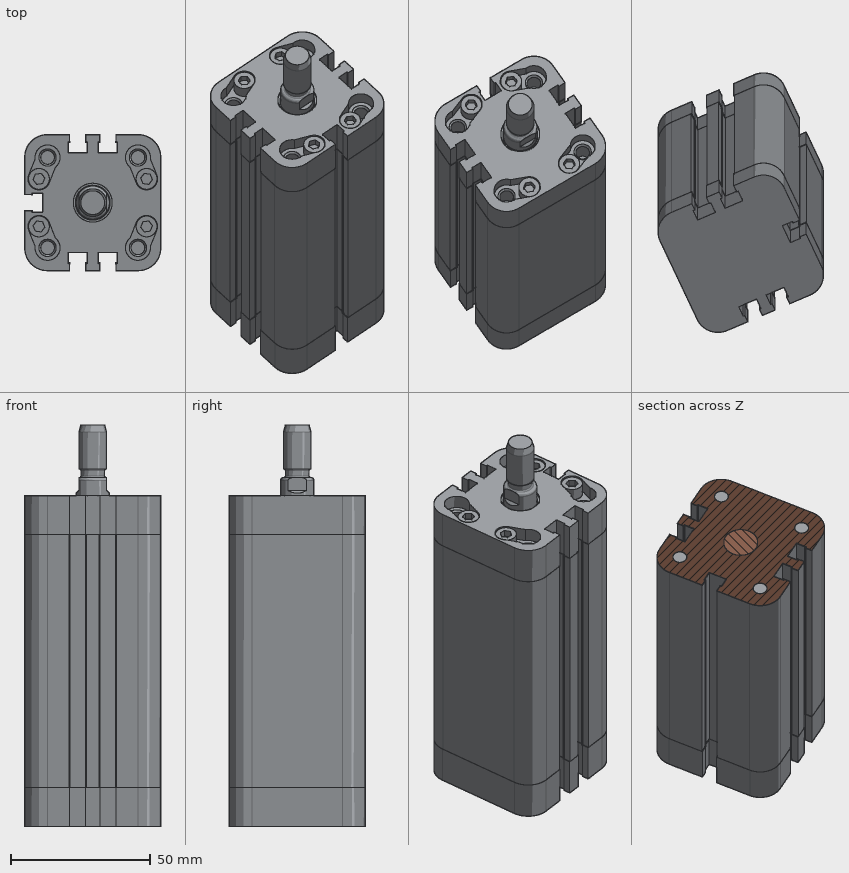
import cadquery as cq
import math


body_width = 49.0
body_length = 119.0
overall_length = 144.5
cap_length = 14.0
cap_corner_radius = 16.32 / 2
barrel_corner_radius = 16.5 / 2
barrel_length = body_length - 2 * cap_length

groove_depth = 6.5
cap_opening_depth = 2.6
barrel_opening_depth = 2.9
cap_channel_width = 7.0
cap_opening_width = 5.75
barrel_channel_width = 6.7
barrel_opening_width = 5.6
barrel_mouth_width = 6.2
barrel_mouth_depth = 2.5
side_groove_offset = 5.4

pocket_depth = 5.0
mounting_hole_offset = 32.5 / 2
mounting_hole_diameter = 4.92
mounting_hole_mouth_diameter = 6.2
pocket_diameter = 9.0
slot_width = 7.9
screw_offset_x = 19.35
screw_offset_y = 8.55
hole_to_screw_x = screw_offset_x - mounting_hole_offset
hole_to_screw_y = screw_offset_y - mounting_hole_offset
hole_to_screw = math.hypot(hole_to_screw_x, hole_to_screw_y)
slot_angle = math.degrees(math.atan2(hole_to_screw_y, hole_to_screw_x))
screw_head_diameter = 7.5
screw_head_recess = 0.4
socket_across_flats = 3.7
socket_depth = 2.5

rod_diameter = 12.0
rod_shoulder_height = 6.6
rod_shoulder_fillet = 1.2
thread_diameter = 10.0
neck_diameter = 8.57
neck_length = 3.0
neck_base_fillet = 0.4
neck_top_fillet = 0.6
thread_tip_diameter = 8.57
thread_tip_chamfer_height = 2.6
flats_width = 10.0
flats_bottom_height = 1.9

wiper_recess_diameter = 14.0
wiper_recess_depth = 0.8
rod_clearance_diameter = 12.54
rod_clearance_depth = 2.0


def rounded_block(length, corner_radius):
    block = cq.Workplane("XY").box(body_width, body_width, length, centered=(True, True, False))
    return block.edges("|Z").fillet(corner_radius)


def groove(length, channel_width, opening_width, opening_depth):
    """Cutter for one groove, entering from the -Y face at X = 0."""
    face_y = -body_width / 2
    opening = opening_width / 2
    channel = channel_width / 2
    right_side = [
        (opening, face_y),
        (opening, face_y + opening_depth),
        (channel, face_y + opening_depth),
        (channel, face_y + groove_depth),
    ]
    left_side = [(-x, y) for x, y in reversed(right_side)]
    return cq.Workplane("XY").polyline(right_side + left_side).close().extrude(length)


def barrel_groove():
    """Groove whose opening is relieved at the surface, leaving a narrow lip above the channel."""
    mouth = cq.Workplane("XY", origin=(0, -body_width / 2, 0)).box(
        barrel_mouth_width, 2 * barrel_mouth_depth, barrel_length, centered=(True, True, False)
    )
    return groove(barrel_length, barrel_channel_width, barrel_opening_width, barrel_opening_depth).union(mouth)


def grooved_block(length, corner_radius, cutter):
    """Rounded block with two grooves in each Y face and one in the -X face."""
    body = rounded_block(length, corner_radius).cut(cutter.rotate((0, 0, 0), (0, 0, 1), -90))
    for offset in (-side_groove_offset, side_groove_offset):
        side_cutter = cutter.translate((offset, 0, 0))
        body = body.cut(side_cutter).cut(side_cutter.mirror("XZ"))
    return body


def disc(x, y, diameter, bottom, height):
    return cq.Workplane("XY", origin=(x, y, bottom)).circle(diameter / 2).extrude(height)


def pocket(floor):
    """Round pocket over the mounting hole, joined to the screw by a straight slot with round ends."""
    slot_middle_x = mounting_hole_offset + hole_to_screw_x / 2
    slot_middle_y = mounting_hole_offset + hole_to_screw_y / 2
    hole_end = disc(mounting_hole_offset, mounting_hole_offset, pocket_diameter, floor, pocket_depth)
    slot = (
        cq.Workplane("XY")
        .slot2D(hole_to_screw + slot_width, slot_width)
        .extrude(pocket_depth)
        .rotate((0, 0, 0), (0, 0, 1), slot_angle)
        .translate((slot_middle_x, slot_middle_y, floor))
    )
    return hole_end.union(slot)


def fixing_cutter():
    """Material removed for one pocket in the +X +Y corner, leaving the screw head standing."""
    floor = cap_length - pocket_depth
    head_height = pocket_depth - screw_head_recess
    head_top = floor + head_height
    head = disc(screw_offset_x, screw_offset_y, screw_head_diameter, floor, head_height)
    socket = (
        cq.Workplane("XY")
        .polygon(6, socket_across_flats, circumscribed=True)
        .extrude(socket_depth)
        .rotate((0, 0, 0), (0, 0, 1), slot_angle + 90)
        .translate((screw_offset_x, screw_offset_y, head_top - socket_depth))
    )
    hole = disc(mounting_hole_offset, mounting_hole_offset, mounting_hole_diameter, 0, floor)
    countersink_depth = (mounting_hole_mouth_diameter - mounting_hole_diameter) / 2
    countersink = (
        cq.Workplane("XY", origin=(mounting_hole_offset, mounting_hole_offset, floor))
        .circle(mounting_hole_mouth_diameter / 2)
        .extrude(-countersink_depth, taper=45)
    )
    return pocket(floor).cut(head).union(socket).union(hole).union(countersink)


def plain_cap():
    cutter = groove(cap_length, cap_channel_width, cap_opening_width, cap_opening_depth)
    return grooved_block(cap_length, cap_corner_radius, cutter)


def make_bearing_cap():
    cap = plain_cap()
    cutter = fixing_cutter()
    for corner in (cutter, cutter.mirror("YZ")):
        cap = cap.cut(corner)
        cap = cap.cut(corner.mirror("XZ"))
    cap = cap.cut(disc(0, 0, rod_diameter, 0, cap_length))
    clearance_floor = cap_length - rod_clearance_depth
    cap = cap.cut(disc(0, 0, rod_clearance_diameter, clearance_floor, rod_clearance_depth))
    cap = cap.cut(disc(0, 0, wiper_recess_diameter, cap_length - wiper_recess_depth, wiper_recess_depth))
    return cap.translate((0, 0, body_length - cap_length))


def make_barrel():
    barrel = grooved_block(barrel_length, barrel_corner_radius, barrel_groove())
    return barrel.translate((0, 0, cap_length))


def make_rod():
    """Rod starting at the inner face of the bearing cap; heights are from the cap's outer face."""
    rod_radius = rod_diameter / 2
    neck_radius = neck_diameter / 2
    thread_radius = thread_diameter / 2
    tip = overall_length - body_length
    thread_start = rod_shoulder_height + neck_length
    rod = (
        cq.Workplane("XZ")
        .moveTo(0, -cap_length)
        .lineTo(rod_radius, -cap_length)
        .lineTo(rod_radius, rod_shoulder_height - rod_shoulder_fillet)
        .radiusArc((rod_radius - rod_shoulder_fillet, rod_shoulder_height), -rod_shoulder_fillet)
        .lineTo(neck_radius + neck_base_fillet, rod_shoulder_height)
        .radiusArc((neck_radius, rod_shoulder_height + neck_base_fillet), neck_base_fillet)
        .lineTo(neck_radius, thread_start - neck_top_fillet)
        .radiusArc((neck_radius + neck_top_fillet, thread_start), neck_top_fillet)
        .lineTo(thread_radius, thread_start)
        .lineTo(thread_radius, tip - thread_tip_chamfer_height)
        .lineTo(thread_tip_diameter / 2, tip)
        .lineTo(0, tip)
        .close()
        .revolve(360, (0, 0, 0), (0, 1, 0))
    )
    return cut_flats(rod).translate((0, 0, body_length))


def cut_flats(rod):
    """Two spanner flats facing -X and +X, each running out at 45 degrees at its lower end."""
    flat_x = flats_width / 2
    run_out = (rod_diameter - flats_width) / 2
    flat = (
        cq.Workplane("XZ")
        .moveTo(flat_x, rod_shoulder_height)
        .lineTo(flat_x, flats_bottom_height)
        .lineTo(flat_x + run_out, flats_bottom_height - run_out)
        .lineTo(flat_x + run_out, rod_shoulder_height)
        .close()
        .extrude(rod_diameter / 2, both=True)
    )
    return rod.cut(flat).cut(flat.mirror("YZ"))


end_cap = plain_cap()
barrel = make_barrel()
bearing_cap = make_bearing_cap()
piston_rod = make_rod()

result = cq.Compound.makeCompound([end_cap.val(), barrel.val(), bearing_cap.val(), piston_rod.val()])